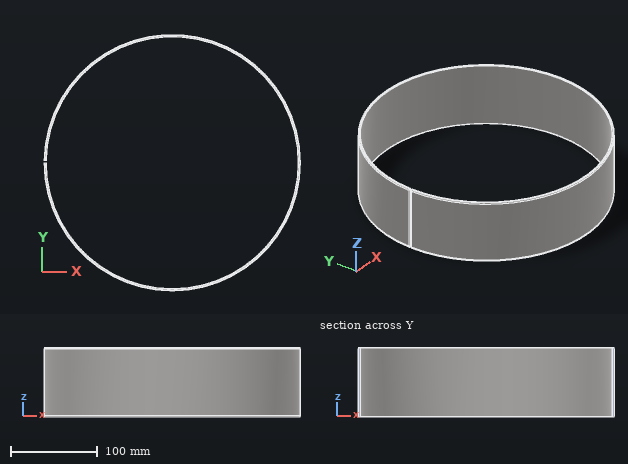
import cadquery as cq
import math

outer_diameter = 295.0
height = 80.0
wall = 2.5
slit_angle = 1.0

outer_taper_height = 1.8
outer_taper_angle = 20.0
inner_taper_height = 0.6
inner_taper_angle = 30.0

outer_radius = outer_diameter / 2
inner_radius = outer_radius - wall


def taper_depth(taper_height, taper_angle):
    """Radial depth that a taper takes out of the wall."""
    return taper_height * math.tan(math.radians(taper_angle))


def ring_body():
    """Closed ring with tapered outer and inner edges at both rims."""
    outer_rim_radius = outer_radius - taper_depth(outer_taper_height, outer_taper_angle)
    inner_rim_radius = inner_radius + taper_depth(inner_taper_height, inner_taper_angle)
    section = [
        (inner_rim_radius, 0),
        (outer_rim_radius, 0),
        (outer_radius, outer_taper_height),
        (outer_radius, height - outer_taper_height),
        (outer_rim_radius, height),
        (inner_rim_radius, height),
        (inner_radius, height - inner_taper_height),
        (inner_radius, inner_taper_height),
    ]
    profile = cq.Workplane("XZ").polyline(section).close()
    return profile.revolve(360, (0, 0), (0, 1))


def slit_cutter():
    """Wedge from the ring axis that opens the wall over its full height on the -X side."""
    reach = outer_diameter
    opening = reach * math.tan(math.radians(slit_angle))
    wedge = cq.Workplane("XY").polyline([(0, 0), (-reach, 0), (-reach, opening)]).close()
    return wedge.extrude(height)


result = ring_body().cut(slit_cutter())